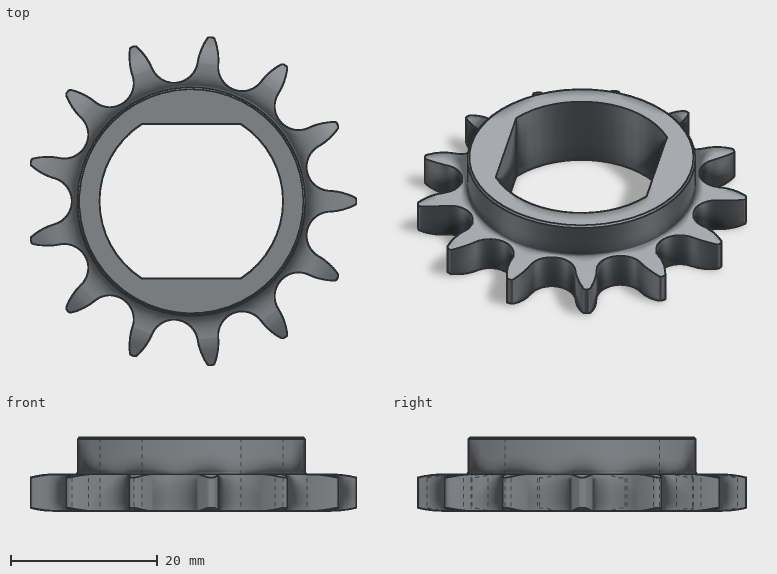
import cadquery as cq
import math

tooth_count = 13
tip_radius = 22.5
tip_half_width = 0.4
tip_corner_radius = 0.4
shoulder_radius = 18.8
shoulder_half_width = 1.45
root_radius = 16.25
plate_thickness = 5.0
tip_relief = 0.45

hub_radius = 31.0 / 2
total_height = 2 * plate_thickness
hub_edge_size = 0.25

bore_radius = 12.45
flat_distance = 20.95

tooth_pitch_angle = 2 * math.pi / tooth_count


def turned(point, angle):
    """Rotate a point about the origin."""
    x, y = point
    cosine = math.cos(angle)
    sine = math.sin(angle)
    return (x * cosine - y * sine, x * sine + y * cosine)


def flank_midpoint(start, tangent, end):
    """Middle of the arc that leaves start along a unit tangent and reaches end."""
    chord = (end[0] - start[0], end[1] - start[1])
    length = math.hypot(*chord)
    along = (chord[0] * tangent[0] + chord[1] * tangent[1]) / length
    across = (tangent[0] * chord[1] - tangent[1] * chord[0]) / length
    half_turn = math.atan2(across, along)
    sagitta = length / 2 * math.tan(half_turn / 2)
    return (
        (start[0] + end[0]) / 2 + sagitta * chord[1] / length,
        (start[1] + end[1]) / 2 - sagitta * chord[0] / length,
    )


def tooth_outline():
    """Closed outline of all teeth: flank, tip, flank and roller seat for each pitch."""
    shoulder = (shoulder_radius, shoulder_half_width)
    seat_end = turned(shoulder, -tooth_pitch_angle / 2)
    depth = seat_end[0] - root_radius
    seat_radius = (depth**2 + seat_end[1] ** 2) / (2 * depth)
    seat_center = turned((root_radius + seat_radius, 0), tooth_pitch_angle / 2)

    tangent = (
        (seat_center[1] - shoulder[1]) / seat_radius,
        (shoulder[0] - seat_center[0]) / seat_radius,
    )
    tip = (math.sqrt(tip_radius**2 - tip_half_width**2), tip_half_width)
    middle = flank_midpoint(shoulder, tangent, tip)

    def mirrored(point):
        return (point[0], -point[1])

    outline = cq.Workplane("XY").moveTo(*mirrored(shoulder))
    for index in range(tooth_count):
        angle = index * tooth_pitch_angle
        next_angle = angle + tooth_pitch_angle
        outline = (
            outline.threePointArc(turned(mirrored(middle), angle), turned(mirrored(tip), angle))
            .threePointArc(turned((tip_radius, 0), angle), turned(tip, angle))
            .threePointArc(turned(middle, angle), turned(shoulder, angle))
            .threePointArc(
                turned((root_radius, 0), angle + tooth_pitch_angle / 2),
                turned(mirrored(shoulder), next_angle),
            )
        )
    return outline.close()


def relieved_disc():
    """Disc whose faces curve in toward the rim, starting level at the shoulder radius."""
    run = tip_radius - shoulder_radius
    relief_radius = (run**2 + tip_relief**2) / (2 * tip_relief)
    middle_run = run / 2
    middle_drop = relief_radius - math.sqrt(relief_radius**2 - middle_run**2)
    middle_radius = shoulder_radius + middle_run
    return (
        cq.Workplane("XZ")
        .lineTo(shoulder_radius, 0)
        .threePointArc((middle_radius, middle_drop), (tip_radius, tip_relief))
        .lineTo(tip_radius, plate_thickness - tip_relief)
        .threePointArc((middle_radius, plate_thickness - middle_drop), (shoulder_radius, plate_thickness))
        .lineTo(0, plate_thickness)
        .close()
        .revolve(360, (0, 0, 0), (0, 1, 0))
    )


def hub():
    """Round hub with a chamfered top edge and a small fillet where it meets the plate."""
    fillet_middle = hub_edge_size * (1 - math.sqrt(0.5))
    return (
        cq.Workplane("XZ")
        .lineTo(hub_radius + hub_edge_size, 0)
        .lineTo(hub_radius + hub_edge_size, plate_thickness)
        .threePointArc(
            (hub_radius + fillet_middle, plate_thickness + fillet_middle),
            (hub_radius, plate_thickness + hub_edge_size),
        )
        .lineTo(hub_radius, total_height - hub_edge_size)
        .lineTo(hub_radius - hub_edge_size, total_height)
        .lineTo(0, total_height)
        .close()
        .revolve(360, (0, 0, 0), (0, 1, 0))
    )


def bore():
    """Through bore with two flats parallel to X."""
    cylinder = cq.Workplane("XY").circle(bore_radius).extrude(total_height)
    flats = cq.Workplane("XY").rect(2 * bore_radius, flat_distance).extrude(total_height)
    return cylinder.intersect(flats)


def toothed_plate():
    """Tooth plate with rounded tip corners and axially relieved teeth."""
    teeth = tooth_outline().extrude(plate_thickness)
    flank_middle_radius = (shoulder_radius + tip_radius) / 2

    def at_tip(edge):
        center = edge.Center()
        return math.hypot(center.x, center.y) > flank_middle_radius

    rounded_teeth = teeth.edges("|Z").filter(at_tip).fillet(tip_corner_radius)
    return rounded_teeth.intersect(relieved_disc())


result = toothed_plate().union(hub()).cut(bore())